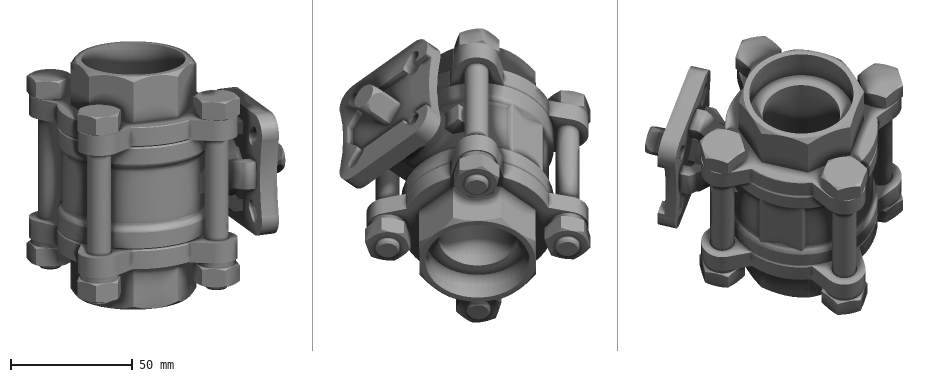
import math

import cadquery as cq


half_length = 101.0 / 2
octagon_flats = 48.0
octagon_chamfer_height = 1.9
bore_diameter = 32.0
socket_diameter = 43.0
socket_depth = 13.1
flange_diameter = 63.0
flange_inner_z = 22.2
flange_outer_z = 30.8
flange_outer_chamfer = 0.25
flange_inner_chamfer = 0.6

bolt_offset = 26.2
bolt_diameter = 10.0
bolt_hole_diameter = 10.5
bolt_end_chamfer = 0.8
bolt_overhang = 2.4
ear_radius = 8.7
ear_flare_angle = 15.0
hex_flats = 16.9
hex_height = 8.1
hex_chamfer_height = 0.7
chamfer_inset = 0.1
washer_diameter = 16.0
washer_thickness = 2.4

rim_inner_z = 14.7
rim_chamfer = 0.6
barrel_radius = 29.5
barrel_half_length = 11.3
groove_slope_start = (30.0, 12.6)
groove_slope_end = (30.7, 13.3)
label_flat_half_width = 8.3
label_flank_top = (0.5, 9.3)
label_flank_foot = (1.4, 9.9)
label_root_half_width = 11.2
stop_block_width = 41.5
stop_block_height = 8.5
stop_block_y = 31.4

stem_tip_y = 65.7
stem_flats = 11.0
stem_radius = 13.9 / 2
stem_tip_radius = 5.4
stem_tip_length = 4.1
neck_radius = 13.3
neck_top_y = 42.4

leg_outer_radius = 20.0
leg_inner_radius = 15.3
leg_width = 11.6
leg_outer_fillet = 2.5
leg_inner_fillet = 1.8

plate_back_y = 46.7
plate_front_y = 54.3
plate_width = 51.9
plate_height = 52.3
plate_corner_radius = 7.9
scallop_chord = 31.7
scallop_depth = 2.1
slot_width = 6.0
slot_inner_offset = 14.8
slot_outer_offset = 17.7
recess_depth = 2.9
recess_half_height = 14.3
recess_mouth_radius = 1.5
recess_nose_z = 10.8
recess_nose_radius = 1.6
recess_end_half_height = 4.7

bolt_places = [(sx * bolt_offset, sy * bolt_offset) for sx in (-1, 1) for sy in (-1, 1)]


def cylinder_z(radius, z_low, z_high):
    return cq.Workplane("XY").workplane(offset=z_low).circle(radius).extrude(z_high - z_low)


def box_between(low, high):
    """Axis-aligned box between two opposite corners."""
    sizes = [b - a for a, b in zip(low, high)]
    return cq.Workplane("XY").box(*sizes, centered=False).translate(low)


def on_both_ends(upper):
    return upper.union(upper.mirror("XY"))


def chamfered_prism(sides, flats, z_low, z_high, drop, chamfer_bottom, first_corner):
    """Regular prism whose end corners are turned down to the circle inside the flats."""
    corner_radius = flats / 2 / math.cos(math.pi / sides)
    prism = (
        cq.Workplane("XY")
        .workplane(offset=z_low)
        .polygon(sides, 2 * corner_radius)
        .extrude(z_high - z_low)
        .rotate((0, 0, 0), (0, 0, 1), first_corner)
    )
    face_radius = flats / 2 - chamfer_inset
    profile = cq.Workplane("XZ").moveTo(0, z_low)
    if chamfer_bottom:
        profile = profile.lineTo(face_radius, z_low).lineTo(corner_radius, z_low + drop)
    else:
        profile = profile.lineTo(corner_radius, z_low)
    profile = profile.lineTo(corner_radius, z_high - drop).lineTo(face_radius, z_high).lineTo(0, z_high)
    return prism.intersect(profile.close().revolve(360, (0, 0, 0), (0, 1, 0)))


def flange_ear():
    """Ear on the +X diagonal: a round end whose sides flare out towards the flange."""
    flare = math.radians(ear_flare_angle)
    centre = bolt_offset * math.sqrt(2)
    tangent_x = centre + ear_radius * math.sin(flare)
    tangent_y = ear_radius * math.cos(flare)
    root_x = flange_diameter / 4
    root_y = tangent_y + (tangent_x - root_x) * math.tan(flare)
    return (
        cq.Workplane("XY")
        .workplane(offset=flange_inner_z)
        .moveTo(root_x, -root_y)
        .lineTo(tangent_x, -tangent_y)
        .threePointArc((centre + ear_radius, 0), (tangent_x, tangent_y))
        .lineTo(root_x, root_y)
        .close()
        .extrude(flange_outer_z - flange_inner_z)
    )


def upper_end_piece():
    piece = cylinder_z(flange_diameter / 2, flange_inner_z, flange_outer_z)
    piece = piece.faces(">Z").chamfer(flange_outer_chamfer).faces("<Z").chamfer(flange_inner_chamfer)
    for angle in (45, 135, 225, 315):
        piece = piece.union(flange_ear().rotate((0, 0, 0), (0, 0, 1), angle))
    octagon = chamfered_prism(
        8, octagon_flats, flange_inner_z, half_length,
        octagon_chamfer_height, chamfer_bottom=False, first_corner=22.5
    )
    for x, y in bolt_places:
        hole = cylinder_z(bolt_hole_diameter / 2, flange_inner_z, flange_outer_z)
        piece = piece.cut(hole.translate((x, y, 0)))
    return piece.union(octagon)


def bolt(x, y):
    """Bolt with head above, washer and nut below; neighbouring bolts are turned by 30 degrees."""
    first_corner = 0 if x * y > 0 else 30
    washer_bottom = -flange_outer_z - washer_thickness
    nut_bottom = washer_bottom - hex_height
    shank = cylinder_z(bolt_diameter / 2, nut_bottom - bolt_overhang, flange_outer_z)
    shank = shank.faces("<Z").chamfer(bolt_end_chamfer)
    washer = cylinder_z(washer_diameter / 2, washer_bottom, -flange_outer_z)
    assembly = shank.union(washer)
    for z_low in (flange_outer_z, nut_bottom):
        hexagon = chamfered_prism(
            6, hex_flats, z_low, z_low + hex_height,
            hex_chamfer_height, chamfer_bottom=True, first_corner=first_corner
        )
        assembly = assembly.union(hexagon)
    return assembly.translate((x, y, 0))


def centre_body():
    rim_radius = flange_diameter / 2
    upper_half = (
        cq.Workplane("XZ")
        .lineTo(barrel_radius, 0)
        .lineTo(barrel_radius, barrel_half_length)
        .tangentArcPoint(groove_slope_start, relative=False)
        .lineTo(*groove_slope_end)
        .tangentArcPoint((rim_radius, rim_inner_z), relative=False)
        .lineTo(rim_radius, flange_inner_z - rim_chamfer)
        .lineTo(rim_radius - rim_chamfer, flange_inner_z)
        .lineTo(0, flange_inner_z)
        .close()
        .revolve(360, (0, 0, 0), (0, 1, 0))
    )
    return on_both_ends(upper_half)


def label_pad():
    """Raised flat on the -X side, tangent to the barrel, with rounded edges and blended roots."""
    top_depth, top_y = label_flank_top
    foot_depth, foot_y = label_flank_foot
    root_x = -math.sqrt(barrel_radius**2 - label_root_half_width**2)
    half = (
        cq.Workplane("XY")
        .workplane(offset=-rim_inner_z)
        .moveTo(-barrel_radius, 0)
        .lineTo(-barrel_radius, label_flat_half_width)
        .tangentArcPoint((-barrel_radius + top_depth, top_y), relative=False)
        .lineTo(-barrel_radius + foot_depth, foot_y)
        .tangentArcPoint((root_x, label_root_half_width), relative=False)
        .lineTo(0, label_root_half_width)
        .lineTo(0, 0)
        .close()
        .extrude(2 * rim_inner_z)
    )
    return half.union(half.mirror("XZ"))


def stop_block():
    half_width = stop_block_width / 2
    half_height = stop_block_height / 2
    return box_between((-half_width, 0, -half_height), (half_width, stop_block_y, half_height))


def stem():
    """Square stem set on its corner, corners turned round and the tip domed."""
    square = (
        cq.Workplane("XZ").rect(stem_flats, stem_flats).extrude(-stem_tip_y).rotate((0, 0, 0), (0, 1, 0), 45)
    )
    shoulder_y = stem_tip_y - stem_tip_length
    turned = (
        cq.Workplane("XY")
        .lineTo(stem_radius, 0)
        .lineTo(stem_radius, shoulder_y)
        .tangentArcPoint((stem_tip_radius, stem_tip_y), relative=False)
        .lineTo(0, stem_tip_y)
        .close()
        .revolve(360, (0, 0, 0), (0, 1, 0))
    )
    return square.intersect(turned)


def neck():
    return cq.Workplane("XZ").circle(neck_radius).extrude(-neck_top_y)


def bracket_legs():
    """Four legs: a turned bell, cut down to a cross."""
    shoulder_y = neck_top_y
    foot_y = shoulder_y - (leg_outer_radius - neck_radius)
    half_bend = math.radians(22.5)
    fillet_run = leg_outer_fillet * math.tan(half_bend)
    fillet_diagonal = fillet_run * math.sqrt(0.5)
    corner_gap = leg_outer_fillet * (1 / math.cos(half_bend) - 1)
    gap_x = corner_gap * math.cos(half_bend)
    gap_y = corner_gap * math.sin(half_bend)
    inner_gap = leg_inner_fillet * (1 - math.sqrt(0.5))
    bell = (
        cq.Workplane("XY")
        .moveTo(leg_inner_radius, plate_back_y)
        .lineTo(leg_inner_radius, neck_top_y + leg_inner_fillet)
        .threePointArc(
            (leg_inner_radius - inner_gap, neck_top_y + inner_gap),
            (leg_inner_radius - leg_inner_fillet, neck_top_y),
        )
        .lineTo(neck_radius / 2, neck_top_y)
        .lineTo(neck_radius / 2, foot_y - fillet_run)
        .lineTo(neck_radius, foot_y - fillet_run)
        .threePointArc(
            (neck_radius + gap_x, foot_y - gap_y),
            (neck_radius + fillet_diagonal, foot_y + fillet_diagonal),
        )
        .lineTo(leg_outer_radius - fillet_diagonal, shoulder_y - fillet_diagonal)
        .threePointArc(
            (leg_outer_radius - gap_x, shoulder_y + gap_y),
            (leg_outer_radius, shoulder_y + fillet_run),
        )
        .lineTo(leg_outer_radius, plate_back_y)
        .close()
        .revolve(360, (0, 0, 0), (0, 1, 0))
    )
    bar = cq.Workplane("XZ").rect(plate_width, leg_width).extrude(-plate_back_y)
    cross = bar.union(bar.rotate((0, 0, 0), (0, 1, 0), 90))
    return bell.intersect(cross)


def plate_recess():
    """Recess in the front face, open at -X and ending in two rounded noses at +X."""
    mouth_x = -plate_width / 2
    nose_x = recess_nose_z + slot_width / math.sqrt(2)
    corner_x = nose_x + recess_half_height - recess_nose_z
    end_x = nose_x + recess_nose_z - recess_end_half_height
    lip_z = recess_half_height + recess_mouth_radius
    lip_x = mouth_x + recess_mouth_radius
    blend = recess_mouth_radius * (1 - math.sqrt(0.5))
    recess = (
        cq.Workplane("XZ", origin=(0, plate_front_y - recess_depth, 0))
        .moveTo(mouth_x, -lip_z)
        .threePointArc((mouth_x + blend, -recess_half_height - blend), (lip_x, -recess_half_height))
        .lineTo(corner_x, -recess_half_height)
        .lineTo(nose_x, -recess_nose_z)
        .lineTo(end_x, -recess_end_half_height)
        .lineTo(end_x, recess_end_half_height)
        .lineTo(nose_x, recess_nose_z)
        .lineTo(corner_x, recess_half_height)
        .lineTo(lip_x, recess_half_height)
        .threePointArc((mouth_x + blend, recess_half_height + blend), (mouth_x, lip_z))
        .close()
        .extrude(-recess_depth)
    )
    nose_box = cq.selectors.BoxSelector(
        (nose_x - recess_nose_radius, 0, -recess_half_height + recess_nose_radius),
        (nose_x + recess_nose_radius, stem_tip_y, recess_half_height - recess_nose_radius),
    )
    return recess.edges("|Y").edges(nose_box).fillet(recess_nose_radius)


def mounting_plate():
    thickness = plate_front_y - plate_back_y
    back = cq.Workplane("XZ", origin=(0, plate_back_y, 0))
    corner_x = plate_width / 2 - plate_corner_radius
    corner_z = plate_height / 2 - plate_corner_radius
    end_z = scallop_chord / 2
    end_x = corner_x + math.sqrt(plate_corner_radius**2 - (corner_z - end_z) ** 2)
    diagonal = plate_corner_radius * math.sqrt(0.5)
    waist_x = plate_width / 2 - scallop_depth
    outline = back.moveTo(-corner_x, plate_height / 2)
    for side in (1, -1):
        outline = (
            outline.lineTo(side * corner_x, side * plate_height / 2)
            .threePointArc(
                (side * (corner_x + diagonal), side * (corner_z + diagonal)),
                (side * end_x, side * end_z),
            )
            .threePointArc((side * waist_x, 0), (side * end_x, -side * end_z))
            .threePointArc(
                (side * (corner_x + diagonal), -side * (corner_z + diagonal)),
                (side * corner_x, -side * plate_height / 2),
            )
        )
    plate = outline.close().extrude(-thickness)

    slot_middle = (slot_inner_offset + slot_outer_offset) / 2 * math.sqrt(2)
    slot_length = (slot_outer_offset - slot_inner_offset) * math.sqrt(2) + slot_width
    for angle in (45, 135, 225, 315):
        slot = back.center(slot_middle, 0).slot2D(slot_length, slot_width).extrude(-thickness)
        plate = plate.cut(slot.rotate((0, 0, 0), (0, 1, 0), angle))
    return plate.cut(plate_recess())


def flow_passage():
    passage = cylinder_z(bore_diameter / 2, -half_length, half_length)
    socket = cylinder_z(socket_diameter / 2, half_length - socket_depth, half_length)
    return passage.union(on_both_ends(socket))


result = centre_body().union(on_both_ends(upper_end_piece()))
for part in (label_pad(), stop_block(), neck(), bracket_legs(), mounting_plate(), stem()):
    result = result.union(part)
result = result.cut(flow_passage())
for x, y in bolt_places:
    result = result.union(bolt(x, y))